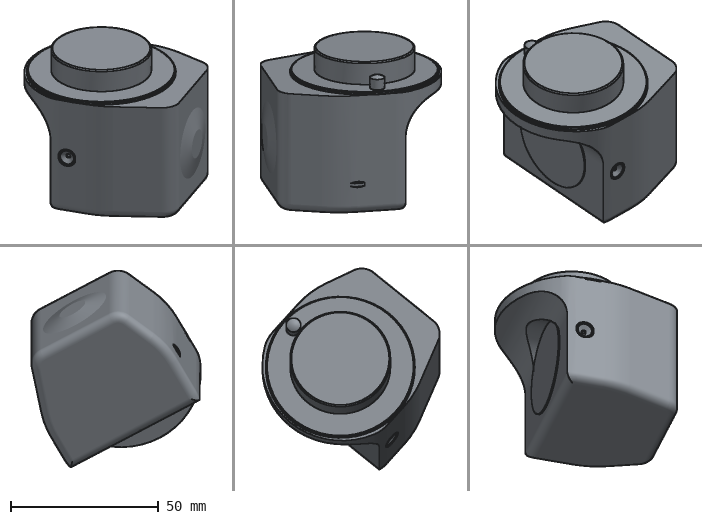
import cadquery as cq
import math

BODY_TOP = 42.2
HALF_WIDTH = 25.5
FRONT_FACE_X = 33.0
NOSE_CENTER_X = 1.0
NOSE_RADIUS = 27.0
SHOULDER_RADIUS = 12.0
BLEND_RADIUS = 30.0
CORNER_RADIUS = 6.0
LEFT_TAPER_START_X = 7.9
LEFT_TAPER_ANGLE = 23.0
RIGHT_TAPER_START_X = 3.9
RIGHT_TAPER_ANGLE = 18.0
BOTTOM_FILLET = 3.0

WALL_X = -9.0
FLANGE_BOTTOM = 38.2
UNDERCUT_RADIUS = 12.0

PORT_Z = 21.0
PAD_DIAMETER = 32.0
PAD_HEIGHT = 0.5
DOME_BASE_DIAMETER = 24.4
DOME_FLAT_DIAMETER = 10.0
DOME_HEIGHT = 1.56
WHEEL_X = 7.6
WHEEL_Z = 10.6
WHEEL_DIAMETER = 11.0
WHEEL_WIDTH = 2.3
WHEEL_CHAMFER = 0.6
WHEEL_PROTRUSION = 0.51

PLUG_X = -2.9
PLUG_BORE_DIAMETER = 6.25
PLUG_DIAMETER = 6.0
PLUG_LENGTH = 6.0
PLUG_RECESS = 0.2
PLUG_CONE_DIAMETER = 4.9
PLUG_HOLE_DIAMETER = 1.5
PLUG_CONE_DEPTH = 1.3
PLUG_HOLE_DEPTH = 2.0
PLUG_HOLE_TIP = 0.4

DISC_DIAMETER = 50.0
DISC_TOP = 43.0
RECESS_DIAMETER = 50.5
RECESS_DEPTH = 0.2
DISC_BOTTOM = BODY_TOP - RECESS_DEPTH
DISC_CHAMFER = 0.3
HUB_DIAMETER = 34.0
HUB_TOP = 51.0
HUB_CHAMFER = 0.5

PIN_DIAMETER = 5.0
PIN_Y = 20.8
PIN_SHOULDER_Z = 46.7
PIN_TOP = 47.6


def taper_point(start_x, angle):
    """End of the blend arc, for a taper on the +Y side."""
    rad = math.radians(angle)
    return (
        start_x + BLEND_RADIUS * math.sin(rad),
        HALF_WIDTH - BLEND_RADIUS * (1 - math.cos(rad)),
    )


def blend_middle(start_x, angle):
    """Middle of the same blend arc."""
    return taper_point(start_x, angle / 2)


def face_corner(start_x, angle):
    """Sharp corner where the taper meets the +X face."""
    x, y = taper_point(start_x, angle)
    return (FRONT_FACE_X, y - (FRONT_FACE_X - x) * math.tan(math.radians(angle)))


def mirrored(point):
    return (point[0], -point[1])


def housing_profile():
    shoulder_y = HALF_WIDTH - SHOULDER_RADIUS
    center_gap = NOSE_RADIUS - SHOULDER_RADIUS
    nose_angle = math.asin(shoulder_y / center_gap)
    shoulder_x = NOSE_CENTER_X - center_gap * math.cos(nose_angle)
    shoulder_end = (shoulder_x, HALF_WIDTH)
    nose_end = (
        NOSE_CENTER_X - NOSE_RADIUS * math.cos(nose_angle),
        NOSE_RADIUS * math.sin(nose_angle),
    )
    middle_angle = (nose_angle + math.pi / 2) / 2
    shoulder_middle = (
        shoulder_x - SHOULDER_RADIUS * math.cos(middle_angle),
        shoulder_y + SHOULDER_RADIUS * math.sin(middle_angle),
    )
    left = (LEFT_TAPER_START_X, LEFT_TAPER_ANGLE)
    right = (RIGHT_TAPER_START_X, RIGHT_TAPER_ANGLE)
    return (
        cq.Workplane("XY")
        .moveTo(*shoulder_end)
        .lineTo(LEFT_TAPER_START_X, HALF_WIDTH)
        .threePointArc(blend_middle(*left), taper_point(*left))
        .lineTo(*face_corner(*left))
        .lineTo(*mirrored(face_corner(*right)))
        .lineTo(*mirrored(taper_point(*right)))
        .threePointArc(mirrored(blend_middle(*right)), (RIGHT_TAPER_START_X, -HALF_WIDTH))
        .lineTo(*mirrored(shoulder_end))
        .threePointArc(mirrored(shoulder_middle), mirrored(nose_end))
        .threePointArc((NOSE_CENTER_X - NOSE_RADIUS, 0), nose_end)
        .threePointArc(shoulder_middle, shoulder_end)
        .close()
    )


def undercut():
    """Space removed below the flange, with a curved inner corner."""
    reach = NOSE_RADIUS + HALF_WIDTH
    diagonal = UNDERCUT_RADIUS * math.sqrt(0.5)
    center_x = WALL_X - UNDERCUT_RADIUS
    center_z = FLANGE_BOTTOM - UNDERCUT_RADIUS
    return (
        cq.Workplane("XZ")
        .moveTo(-reach, 0)
        .lineTo(WALL_X, 0)
        .lineTo(WALL_X, center_z)
        .threePointArc((center_x + diagonal, center_z + diagonal), (center_x, FLANGE_BOTTOM))
        .lineTo(-reach, FLANGE_BOTTOM)
        .close()
        .extrude(HALF_WIDTH * 2, both=True)
    )


def port_cylinder(start_x, end_x):
    """Cylinder along X with the diameter of the round port pad."""
    return (
        cq.Workplane("YZ", origin=(start_x, 0, PORT_Z))
        .circle(PAD_DIAMETER / 2)
        .extrude(end_x - start_x)
    )


def front_dome():
    return (
        cq.Workplane("YZ", origin=(FRONT_FACE_X, 0, PORT_Z))
        .circle(DOME_BASE_DIAMETER / 2)
        .workplane(offset=DOME_HEIGHT)
        .circle(DOME_FLAT_DIAMETER / 2)
        .loft()
    )


def wheel_rim():
    """Disc with its axis along Z; only its rim stands out of the +Y side."""
    center_y = HALF_WIDTH + WHEEL_PROTRUSION - WHEEL_DIAMETER / 2
    return (
        cq.Workplane("XY", origin=(WHEEL_X, center_y, WHEEL_Z - WHEEL_WIDTH / 2))
        .circle(WHEEL_DIAMETER / 2)
        .extrude(WHEEL_WIDTH)
        .edges()
        .chamfer(WHEEL_CHAMFER)
    )


def plug_bore():
    return (
        cq.Workplane("XZ", origin=(PLUG_X, -HALF_WIDTH, PORT_Z))
        .circle(PLUG_BORE_DIAMETER / 2)
        .extrude(-(PLUG_RECESS + PLUG_LENGTH))
    )


def rotor_recess():
    return (
        cq.Workplane("XY", origin=(0, 0, DISC_BOTTOM))
        .circle(RECESS_DIAMETER / 2)
        .extrude(RECESS_DEPTH)
    )


def make_housing():
    body = housing_profile().extrude(BODY_TOP)
    body = body.edges("|Z").edges(">X").fillet(CORNER_RADIUS)
    body = body.cut(undercut())
    body = body.faces("<Z").edges().fillet(BOTTOM_FILLET)

    pad_face_x = WALL_X - PAD_HEIGHT
    body = body.cut(port_cylinder(NOSE_CENTER_X - NOSE_RADIUS, pad_face_x))
    body = body.union(port_cylinder(pad_face_x, WALL_X))

    body = body.union(front_dome()).union(wheel_rim())
    return body.cut(plug_bore()).cut(rotor_recess())


def index_pin():
    radius = PIN_DIAMETER / 2
    tip_height = PIN_TOP - PIN_SHOULDER_Z
    tip_radius = (radius**2 + tip_height**2) / (2 * tip_height)
    half_angle = math.asin(radius / tip_radius) / 2
    tip_middle = (
        tip_radius * math.sin(half_angle),
        PIN_TOP - tip_radius * (1 - math.cos(half_angle)),
    )
    return (
        cq.Workplane("XZ", origin=(0, PIN_Y, 0))
        .moveTo(0, DISC_BOTTOM)
        .lineTo(radius, DISC_BOTTOM)
        .lineTo(radius, PIN_SHOULDER_Z)
        .threePointArc(tip_middle, (0, PIN_TOP))
        .close()
        .revolve(360, (0, 0, 0), (0, 1, 0))
    )


def chamfered_disc(diameter, bottom, top, chamfer):
    return (
        cq.Workplane("XY", origin=(0, 0, bottom))
        .circle(diameter / 2)
        .extrude(top - bottom)
        .faces(">Z")
        .edges()
        .chamfer(chamfer)
    )


def make_rotor():
    disc = chamfered_disc(DISC_DIAMETER, DISC_BOTTOM, DISC_TOP, DISC_CHAMFER)
    hub = chamfered_disc(HUB_DIAMETER, DISC_BOTTOM, HUB_TOP, HUB_CHAMFER)
    return disc.union(hub).union(index_pin())


def make_plug():
    radius = PLUG_DIAMETER / 2
    hole_radius = PLUG_HOLE_DIAMETER / 2
    return (
        cq.Workplane("XY", origin=(PLUG_X, PLUG_RECESS - HALF_WIDTH, PORT_Z))
        .moveTo(PLUG_CONE_DIAMETER / 2, 0)
        .lineTo(radius, 0)
        .lineTo(radius, PLUG_LENGTH)
        .lineTo(0, PLUG_LENGTH)
        .lineTo(0, PLUG_HOLE_DEPTH + PLUG_HOLE_TIP)
        .lineTo(hole_radius, PLUG_HOLE_DEPTH)
        .lineTo(hole_radius, PLUG_CONE_DEPTH)
        .close()
        .revolve(360, (0, 0, 0), (0, 1, 0))
    )


housing = make_housing()
rotor = make_rotor()
plug = make_plug()
result = cq.Compound.makeCompound([housing.val(), rotor.val(), plug.val()])